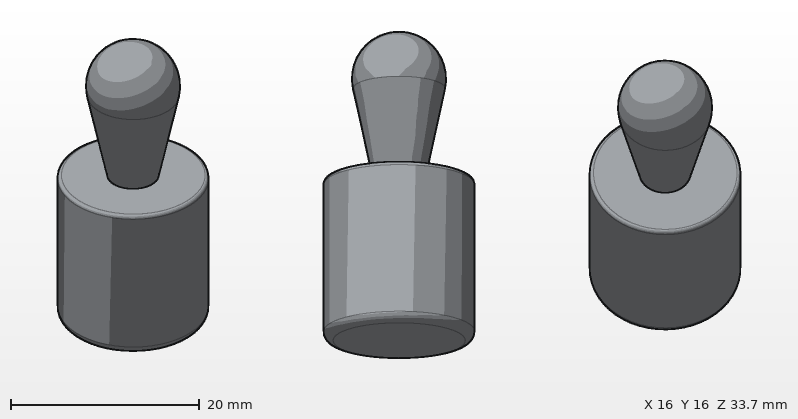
import cadquery as cq
import math

total_height = 33.7
body_diameter = 16.0
body_height = 17.5
top_edge_radius = 0.4
bottom_edge_radius = 1.0
ball_diameter = 10.0
neck_half_angle = math.radians(12)

ball_radius = ball_diameter / 2
ball_center_z = total_height - ball_radius

tangent_radius = ball_radius * math.cos(neck_half_angle)
tangent_z = ball_center_z - ball_radius * math.sin(neck_half_angle)
neck_base_radius = tangent_radius - (tangent_z - body_height) * math.tan(neck_half_angle)


def make_body():
    """Cylindrical body standing on Z = 0, with both rims rounded."""
    body = cq.Workplane("XY").circle(body_diameter / 2).extrude(body_height)
    body = body.faces(">Z").edges().fillet(top_edge_radius)
    return body.faces("<Z").edges().fillet(bottom_edge_radius)


def make_pin():
    """Tapered neck flaring up into a ball end, revolved about the Z axis."""
    arc_middle_angle = (math.pi / 2 - neck_half_angle) / 2
    arc_middle = (
        ball_radius * math.cos(arc_middle_angle),
        ball_center_z + ball_radius * math.sin(arc_middle_angle),
    )
    return (
        cq.Workplane("XZ")
        .moveTo(0, body_height)
        .lineTo(neck_base_radius, body_height)
        .lineTo(tangent_radius, tangent_z)
        .threePointArc(arc_middle, (0, total_height))
        .close()
        .revolve(360, (0, 0, 0), (0, 1, 0))
    )


result = make_body().union(make_pin())